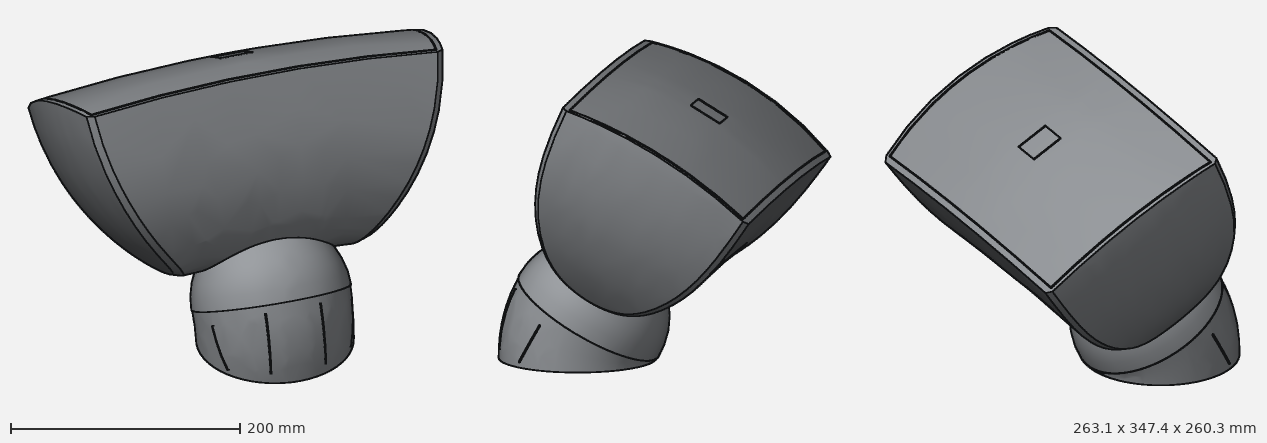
import cadquery as cq
import math


TILT = 30.0
BEND_RADIUS = 75.3
MOUNT_RADIUS = 69.0
JOINT_RADIUS = 70.0
DOME_RADIUS = 70.7

SEAM_WIDTH = 1.0
SEAM_DEPTH = 2.0
COVER_SEAM_Y = 25.3
COVER_SEAM_START = 4.0
COVER_SEAM_END = 27.0
SIDE_SEAM_X = 26.4
SIDE_SEAM_TOP = -12.7
SIDE_SEAM_BOTTOM = -53.0

HALF_WIDTH = 96.05
FRONT_EDGE_Z = 201.6
FRONT_CROWN_Z = 216.0
FLANK_POINT = (86.8, 133.0)
HAUNCH_POINT = (64.0, 76.0)
BACK_POINT = (33.0, 43.5)
BACK_MIDDLE = (0, 35.5)
LENGTH_BOW_RADIUS = 1500.0
BOW_OVERRUN = 1.1

HALF_LENGTH = 173.95
CLEARANCE = 1.0
END_TOP = (HALF_LENGTH, FRONT_CROWN_Z + CLEARANCE)
END_MIDDLE = (147.8, 110.0)
END_FOOT = (79.0, 30.0)
END_BOW_RADIUS = 475.0
END_CHAMFER = 5.0

FRAME_WIDTH = 6.2
FRAME_SEAM_WIDTH = 0.5
BADGE_SIZE = 30.0
MARK_DEPTH = 0.8



def bowed_along_length(profile):
    """Revolve an XZ profile about the far axis that bows the cabinet lengthwise."""
    axis_z = FRONT_CROWN_Z - LENGTH_BOW_RADIUS
    half_sweep = math.degrees(math.asin(BOW_OVERRUN * HALF_LENGTH / LENGTH_BOW_RADIUS))
    solid = profile.revolve(2 * half_sweep, (0, axis_z, 0), (1, axis_z, 0))
    return solid.rotate((0, 0, axis_z), (1, 0, axis_z), -half_sweep)


def bowed_cross_section():
    right_side = [FLANK_POINT, HAUNCH_POINT, BACK_POINT]
    left_side = [(-x, z) for x, z in reversed(right_side)]
    left_front_corner = (-HALF_WIDTH, FRONT_EDGE_Z)
    profile = (
        cq.Workplane("XZ")
        .moveTo(*left_front_corner)
        .threePointArc((0, FRONT_CROWN_Z), (HALF_WIDTH, FRONT_EDGE_Z))
        .spline(right_side + [BACK_MIDDLE] + left_side + [left_front_corner], includeCurrent=True)
        .close()
    )
    return bowed_along_length(profile)


def end_envelope():
    """Everything inboard of the bulged +Y end."""
    axis_y = HALF_LENGTH - END_BOW_RADIUS
    return (
        cq.Workplane("YZ")
        .moveTo(axis_y, END_FOOT[1])
        .lineTo(*END_FOOT)
        .threePointArc(END_MIDDLE, END_TOP)
        .lineTo(axis_y, END_TOP[1])
        .close()
        .revolve(360, (axis_y, 0, 0), (axis_y, 1, 0))
    )


def front_skin():
    """Layer of the marking depth just under the curved front."""
    profile = (
        cq.Workplane("XZ")
        .moveTo(-HALF_WIDTH, FRONT_EDGE_Z)
        .threePointArc((0, FRONT_CROWN_Z), (HALF_WIDTH, FRONT_EDGE_Z))
        .lineTo(HALF_WIDTH, FRONT_EDGE_Z - MARK_DEPTH)
        .threePointArc((0, FRONT_CROWN_Z - MARK_DEPTH), (-HALF_WIDTH, FRONT_EDGE_Z - MARK_DEPTH))
        .close()
    )
    return bowed_along_length(profile)


def front_outline_prism(inset):
    """Prism over the front outline, drawn in by an inset on all four sides."""
    half_width = HALF_WIDTH - inset
    end_radius = END_BOW_RADIUS - inset
    end_y = HALF_LENGTH - inset
    end_bulge = end_radius - math.sqrt(end_radius ** 2 - half_width ** 2)
    corner_y = end_y - end_bulge
    return (
        cq.Workplane("XY")
        .moveTo(-half_width, -corner_y)
        .threePointArc((0, -end_y), (half_width, -corner_y))
        .lineTo(half_width, corner_y)
        .threePointArc((0, end_y), (-half_width, corner_y))
        .close()
        .extrude(FRONT_CROWN_Z)
    )


def front_marks():
    """Seam between frame and grille, and the shallow badge recess."""
    frame_inner = front_outline_prism(FRAME_WIDTH)
    grille = front_outline_prism(FRAME_WIDTH + FRAME_SEAM_WIDTH)
    badge = cq.Workplane("XY").rect(BADGE_SIZE, BADGE_SIZE).extrude(FRONT_CROWN_Z)
    skin = front_skin()
    return skin.intersect(frame_inner.cut(grille)), skin.intersect(badge)


def cabinet():
    end = end_envelope()
    body = bowed_cross_section().intersect(end.intersect(end.mirror("XZ")))
    body = body.edges("<Z").chamfer(END_CHAMFER)
    frame_seam, badge = front_marks()
    return body.cut(frame_seam).cut(badge)


def dome():
    square = cq.Workplane("XY").rect(2 * DOME_RADIUS, 2 * DOME_RADIUS)
    upper_half = square.extrude(DOME_RADIUS)
    return cq.Workplane("XY").sphere(DOME_RADIUS).intersect(upper_half)


def joint_to_base(shape):
    """Move a shape from the joint frame onto the joint face of the base."""
    turn = math.radians(TILT)
    joint_x = BEND_RADIUS * (math.cos(turn) - 1)
    joint_z = BEND_RADIUS * math.sin(turn)
    return shape.rotate((0, 0, 0), (0, 1, 0), -TILT).translate((joint_x, 0, joint_z))



def elbow_rim(angle, radius):
    """Circle round the elbow at an angle from the mounting face."""
    turn = math.radians(angle)
    centre = cq.Vector(BEND_RADIUS * (math.cos(turn) - 1), 0, BEND_RADIUS * math.sin(turn))
    return cq.Wire.makeCircle(radius, centre, cq.Vector(-math.sin(turn), 0, math.cos(turn)))


def elbow(inset):
    """Elbow with its round wall drawn in by an inset."""
    middle_radius = (MOUNT_RADIUS + JOINT_RADIUS) / 2
    rims = [
        elbow_rim(0, MOUNT_RADIUS - inset),
        elbow_rim(TILT / 2, middle_radius - inset),
        elbow_rim(TILT, JOINT_RADIUS - inset),
    ]
    return cq.Workplane(cq.Solid.makeLoft(rims))


def cover_seam(y):
    """Wedge across the outer bend, turned about the bend axis."""
    strip_middle = JOINT_RADIUS / 2
    bend_axis = -BEND_RADIUS - strip_middle
    sweep = COVER_SEAM_END - COVER_SEAM_START
    strip = cq.Workplane("XY").center(strip_middle, y).rect(JOINT_RADIUS, SEAM_WIDTH)
    wedge = strip.revolve(sweep, (bend_axis, 1, 0), (bend_axis, 0, 0))
    return wedge.rotate((-BEND_RADIUS, 0, 0), (-BEND_RADIUS, 1, 0), -COVER_SEAM_START)


def side_seams():
    """Plate that marks a straight seam on both flanks, along the swivel axis."""
    length = SIDE_SEAM_TOP - SIDE_SEAM_BOTTOM
    middle_z = (SIDE_SEAM_TOP + SIDE_SEAM_BOTTOM) / 2
    plate = cq.Workplane("XY").box(SEAM_WIDTH, 2 * JOINT_RADIUS, length)
    return joint_to_base(plate.translate((SIDE_SEAM_X, 0, middle_z)))


def swivel_base():
    core = elbow(SEAM_DEPTH)
    body = elbow(0)
    for side in (-1, 1):
        body = body.cut(cover_seam(side * COVER_SEAM_Y).cut(core))
    return body.cut(side_seams().cut(core))


speaker = joint_to_base(cabinet().union(dome()))
base = swivel_base()
result = cq.Compound.makeCompound([speaker.val(), base.val()])